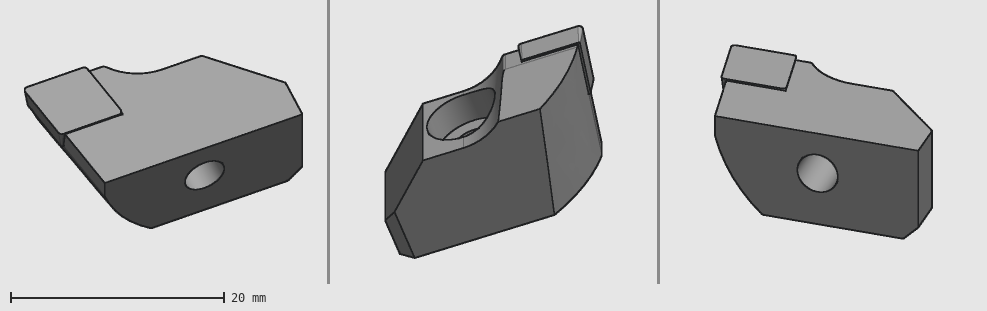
import cadquery as cq
import math


body_height = 9.79
shank_width = 10.0
head_width = 12.51
back_width = 4.0
side_length = 20.2
nose_angle = 10
neck_start = 10.0
neck_radius = 6.0
shoulder_radius = 0.5
back_chamfer = 1.5

clearance_angle = 7
side_relief_height = 7.25
nose_relief_outer_height = 7.52
nose_relief_inner_height = 7.7
nose_relief_radius = 15.35
nose_relief_outer_angle = 11.5
nose_relief_inner_angle = 14.5
nose_relief_end = 50

screw_diameter = 4.0
screw_head_diameter = 7.25
screw_head_depth = 3.0
screw_height = 5.5

insert_size = 6.35
insert_thickness = 2.38
insert_corner_radius = 0.4
insert_outer_x = -13.0
insert_tip_y = -22.92
insert_top = 10.0

margin = 4.58
slope = math.tan(math.radians(nose_angle))
slant = 1 / math.cos(math.radians(nose_angle))


def make_blank():
    """Plan outline with the neck arc, raised to the body height."""
    back_corner = shank_width - back_width
    neck_cosine = 1 - (head_width - shank_width) / neck_radius
    neck_sweep = math.acos(neck_cosine)
    neck_center_x = -shank_width - neck_radius

    def neck_point(angle):
        return (
            neck_center_x + neck_radius * math.cos(angle),
            -neck_start - neck_radius * math.sin(angle),
        )

    shoulder = neck_point(neck_sweep)
    blank = (
        cq.Workplane("XY")
        .moveTo(0, 0)
        .lineTo(-back_width, 0)
        .lineTo(-shank_width, -back_corner)
        .lineTo(-shank_width, -neck_start)
        .threePointArc(neck_point(neck_sweep / 2), shoulder)
        .lineTo(-head_width, -side_length - head_width * slope)
        .lineTo(0, -side_length)
        .close()
        .extrude(body_height)
    )
    shoulder_edge = cq.selectors.NearestToPointSelector((*shoulder, body_height / 2))
    blank = blank.edges("|Z").edges(shoulder_edge).fillet(shoulder_radius)
    return blank.faces(">Y").edges("<Z").chamfer(back_chamfer)


def make_side_relief():
    """Wedge that slopes the head's outer side inward towards the underside."""
    inset = side_relief_height * math.tan(math.radians(clearance_angle))
    return (
        cq.Workplane("XZ")
        .moveTo(-head_width, side_relief_height)
        .lineTo(-head_width + inset, 0)
        .lineTo(-head_width - margin, 0)
        .lineTo(-head_width - margin, side_relief_height)
        .close()
        .extrude(side_length + margin)
    )


def nose_relief_section(x, top_height, start_angle):
    """Region outside the clearance arc, across the front wall at one X."""
    start = math.radians(start_angle)
    end = math.radians(nose_relief_end)
    wall_y = -side_length + x * slope

    def arc_point(angle):
        return (
            wall_y + nose_relief_radius * (math.cos(start) - math.cos(angle)),
            top_height - nose_relief_radius * (math.sin(angle) - math.sin(start)),
        )

    bottom = arc_point(end)
    return (
        cq.Workplane("YZ", origin=(x, 0, 0))
        .moveTo(wall_y, top_height)
        .threePointArc(arc_point((start + end) / 2), bottom)
        .lineTo(wall_y - margin, bottom[1])
        .lineTo(wall_y - margin, top_height)
        .close()
        .wires()
        .val()
    )


def make_nose_relief():
    """Curved clearance under the front wall, slightly stronger towards the mounting side."""
    outer = nose_relief_section(-head_width, nose_relief_outer_height, nose_relief_outer_angle)
    inner = nose_relief_section(0, nose_relief_inner_height, nose_relief_inner_angle)
    return cq.Workplane(cq.Solid.makeLoft([outer, inner], True))


def make_screw_hole():
    """Through hole along X with a counterbore for the screw head, open past the neck."""
    def bore(diameter, inner_x):
        return (
            cq.Workplane("YZ", origin=(inner_x, -neck_start, screw_height))
            .circle(diameter / 2)
            .extrude(-head_width - margin - inner_x)
        )

    return bore(screw_diameter, 0).union(
        bore(screw_head_diameter, -shank_width + screw_head_depth)
    )


def insert_outline():
    """Sharp-cornered rhombus of the insert's top face."""
    inner_x = insert_outer_x + insert_size
    rise = insert_size * slope
    side = insert_size * slant
    sharp_tip_y = insert_tip_y - insert_corner_radius * (slope + slant - 1)
    return [
        (insert_outer_x, sharp_tip_y),
        (inner_x, sharp_tip_y + rise),
        (inner_x, sharp_tip_y + rise + side),
        (insert_outer_x, sharp_tip_y + side),
    ]


def make_insert_shape(corner_radius):
    """Rhombic plate narrowing downward, with optional corner rounding."""
    outline = cq.Wire.makePolygon([cq.Vector(x, y, insert_top) for x, y in insert_outline()], close=True)
    if corner_radius > 0:
        outline = outline.fillet2D(corner_radius, outline.Vertices())
    return (
        cq.Workplane("XY", origin=(0, 0, insert_top))
        .add(outline)
        .toPending()
        .extrude(-insert_thickness, taper=clearance_angle)
    )


def make_holder():
    pocket = make_insert_shape(corner_radius=0)
    holder = (
        make_blank()
        .cut(make_side_relief())
        .cut(make_nose_relief())
        .cut(make_screw_hole())
        .cut(pocket)
    )
    return holder.solids()


holder = make_holder()
insert = make_insert_shape(insert_corner_radius)

result = cq.Compound.makeCompound([holder.val(), insert.val()])